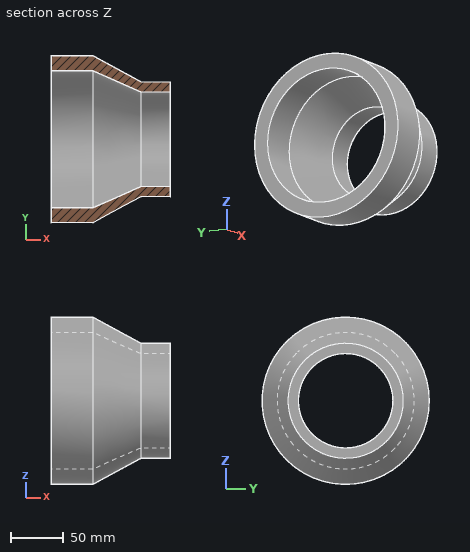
import cadquery as cq

large_outer_diameter = 160.0
large_bore_diameter = 130.8
small_outer_diameter = 110.0
small_bore_diameter = 90.0

large_end_length = 40.0
small_end_length = 28.0
total_length = 114.0

cone_start = large_end_length
cone_end = total_length - small_end_length


def stepped_cone(large_diameter, small_diameter):
    """Solid of revolution: large cylinder, cone, then small cylinder along X."""
    large_radius = large_diameter / 2
    small_radius = small_diameter / 2
    half_profile = (
        cq.Workplane("XY")
        .moveTo(0, 0)
        .lineTo(0, large_radius)
        .lineTo(cone_start, large_radius)
        .lineTo(cone_end, small_radius)
        .lineTo(total_length, small_radius)
        .lineTo(total_length, 0)
        .close()
    )
    return half_profile.revolve(360, (0, 0, 0), (1, 0, 0))


outer_body = stepped_cone(large_outer_diameter, small_outer_diameter)
bore = stepped_cone(large_bore_diameter, small_bore_diameter)

result = outer_body.cut(bore)